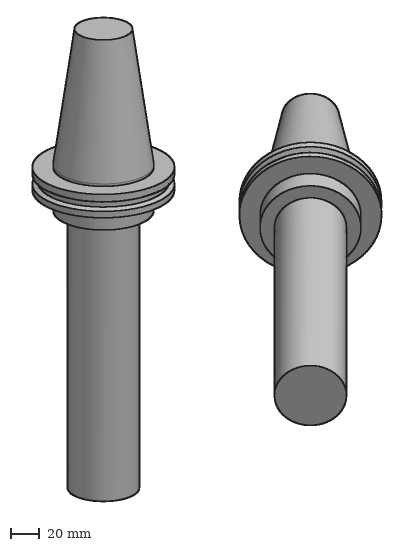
import cadquery as cq

total_length = 344.5

shank_diameter = 50.0
collar_diameter = 70.0
flange_diameter = 98.5
groove_diameter = 91.3
taper_large_diameter = collar_diameter
taper_small_diameter = 40.3

taper_length = 101.5
neck_length = 2.0
flange_thickness = 17.5
upper_rim_thickness = 5.5
lower_rim_thickness = 4.8
groove_bevel_height = 1.7
collar_length = 15.0

taper_base = total_length - taper_length
flange_top = taper_base - neck_length
flange_bottom = flange_top - flange_thickness
collar_bottom = flange_bottom - collar_length


def cylinder(diameter, bottom, top):
    """Solid cylinder on the Z axis between two heights."""
    return cq.Workplane("XY").workplane(offset=bottom).circle(diameter / 2).extrude(top - bottom)


def taper():
    """Cone that narrows toward the top end."""
    return (
        cq.Workplane("XY")
        .workplane(offset=taper_base)
        .circle(taper_large_diameter / 2)
        .workplane(offset=taper_length)
        .circle(taper_small_diameter / 2)
        .loft(ruled=True)
    )


def flange():
    """Disc with a bevelled gripper groove around its rim."""
    rim_radius = flange_diameter / 2
    groove_radius = groove_diameter / 2
    groove_top = flange_top - upper_rim_thickness
    groove_bottom = flange_bottom + lower_rim_thickness
    groove_profile = [
        (rim_radius, groove_top),
        (groove_radius, groove_top - groove_bevel_height),
        (groove_radius, groove_bottom + groove_bevel_height),
        (rim_radius, groove_bottom),
    ]
    groove = cq.Workplane("XZ").polyline(groove_profile).close().revolve(360, (0, 0), (0, 1))
    return cylinder(flange_diameter, flange_bottom, flange_top).cut(groove)


shank = cylinder(shank_diameter, 0, collar_bottom)
collar = cylinder(collar_diameter, collar_bottom, flange_bottom)
neck = cylinder(taper_large_diameter, flange_top, taper_base)

result = shank.union(collar).union(flange()).union(neck).union(taper())